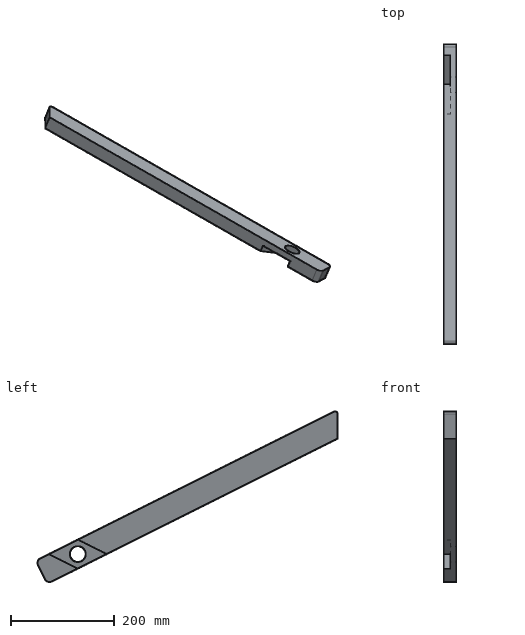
import cadquery as cq
import math

bar_width = 50.0
bar_thickness = 25.0
bar_length = 650.0
bar_slope = math.atan2(1, 2)
end_cut_angle = math.radians(63.2)

square_end_radius = 10.0
slanted_end_radius = 5.0

hole_diameter = 30.0
hole_offset_y = 70.0
hole_offset_z = hole_offset_y * math.tan(bar_slope)
hole_to_square_end = math.hypot(hole_offset_y, hole_offset_z)

slot_width = 50.0
slot_depth = bar_thickness / 2
slot_length = 4 * bar_width


def tilt(body, angle):
    """Turn a body about the hole axis; a positive angle raises its +Y end."""
    return body.rotate((0, 0, 0), (1, 0, 0), math.degrees(angle))


def make_bar():
    """Bar along Y before tilting, square end at -Y, with rounded corners."""
    square_end = -hole_to_square_end
    upper_corner = square_end + bar_length
    lower_corner = upper_corner - bar_width / math.tan(end_cut_angle)
    half_width = bar_width / 2
    bar = (
        cq.Workplane("YZ")
        .moveTo(square_end, -half_width)
        .lineTo(lower_corner, -half_width)
        .lineTo(upper_corner, half_width)
        .lineTo(square_end, half_width)
        .close()
        .extrude(bar_thickness)
    )
    bar = bar.edges("|X and <Y").fillet(square_end_radius)
    return bar.edges("|X and >Y").fillet(slanted_end_radius)


def make_slot():
    """Half-depth cross slot in the -X face, falling as steeply as the bar rises."""
    slot = cq.Workplane("YZ").rect(slot_length, slot_width).extrude(slot_depth)
    return tilt(slot, -bar_slope)


def make_hole():
    """Through hole centred in the slot."""
    return cq.Workplane("YZ").circle(hole_diameter / 2).extrude(bar_thickness)


inclined_bar = tilt(make_bar(), bar_slope).cut(make_slot()).cut(make_hole())

result = inclined_bar.mirror("XZ")